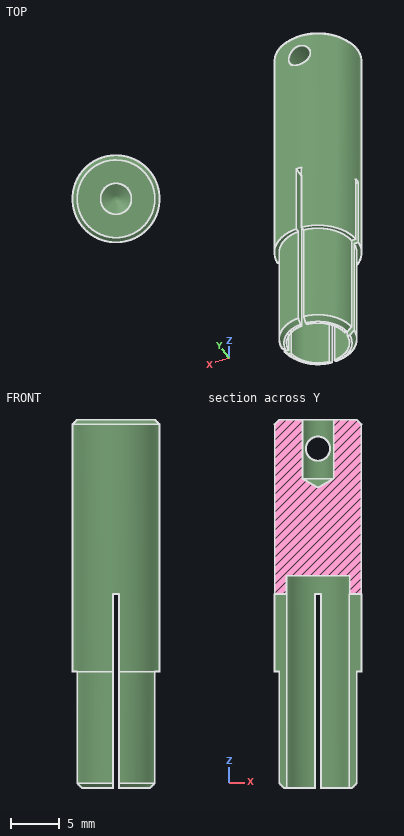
import cadquery as cq

total_length = 38.0
body_diameter = 9.0
shank_diameter = 8.0
shank_length = 12.0
chamfer = 0.5

slot_width = 0.6
slot_height = 20.0

bore_diameter = 6.5
bore_depth = slot_height + 1.9

top_hole_diameter = 3.2
top_hole_depth = 6.08
drill_point_height = 0.9

side_hole_diameter = 2.47
side_hole_drop = 3.0


def make_body():
    """Chamfered cylinder with a narrower shank at its lower end."""
    shank = cq.Workplane("XY").circle(shank_diameter / 2).extrude(shank_length)
    shank = shank.faces("<Z").chamfer(chamfer)
    upper = (
        cq.Workplane("XY", origin=(0, 0, shank_length))
        .circle(body_diameter / 2)
        .extrude(total_length - shank_length)
        .faces(">Z")
        .chamfer(chamfer)
    )
    return shank.union(upper)


def make_top_hole():
    """Revolved profile of the axial hole and its conical bottom."""
    radius = top_hole_diameter / 2
    floor = total_length - top_hole_depth
    return (
        cq.Workplane("XZ")
        .moveTo(0, total_length)
        .lineTo(radius, total_length)
        .lineTo(radius, floor)
        .lineTo(0, floor - drill_point_height)
        .close()
        .revolve(360, (0, 0, 0), (0, 1, 0))
    )


def make_side_hole():
    """Radial cylinder running from the axis out through the +Y side."""
    return (
        cq.Workplane("XZ", origin=(0, 0, total_length - side_hole_drop))
        .circle(side_hole_diameter / 2)
        .extrude(-body_diameter)
    )


def make_slot(angle):
    """Slot across the full diameter, open at the bottom."""
    slot = cq.Workplane("XY").rect(2 * body_diameter, slot_width).extrude(slot_height)
    return slot.rotate((0, 0, 0), (0, 0, 1), angle)


bore = cq.Workplane("XY").circle(bore_diameter / 2).extrude(bore_depth)

result = make_body().cut(bore).cut(make_top_hole()).cut(make_side_hole())
for slot_angle in (0, 90):
    result = result.cut(make_slot(slot_angle))